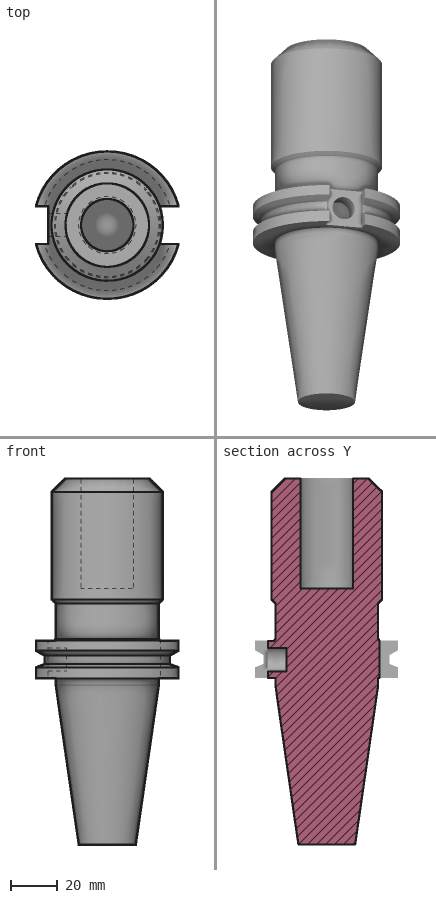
import cadquery as cq

total_height = 157.2
taper_top = 68.5
flange_bottom = 71.3
groove_bottom = 76.0
groove_floor_bottom = 77.5
groove_floor_top = 81.2
groove_top = 83.3
flange_top = 87.5
body_bottom = 103.5

taper_small_radius = 12.3
neck_radius = 22.2
flange_diameter = 63.3
flange_radius = flange_diameter / 2
groove_radius = 28.1
body_radius = 23.9
nose_radius = 17.9

body_chamfer = body_radius - neck_radius
nose_chamfer_height = 5.8
collar_width = 0.5
collar_height = 0.8

bore_diameter = 22.5
bore_depth = 47.1

slot_width = 16.0
slot_floor_left = 25.3
slot_floor_right = 22.8
hole_diameter = 9.9
hole_depth = 7.9

flange_height = flange_top - flange_bottom
flange_middle = (flange_top + flange_bottom) / 2


def make_turned_body():
    """Revolve the taper, grooved flange, neck and body about Z."""
    profile = [
        (0, 0),
        (taper_small_radius, 0),
        (neck_radius, taper_top),
        (neck_radius, flange_bottom),
        (flange_radius, flange_bottom),
        (flange_radius, groove_bottom),
        (groove_radius, groove_floor_bottom),
        (groove_radius, groove_floor_top),
        (flange_radius, groove_top),
        (flange_radius, flange_top),
        (neck_radius + collar_width, flange_top),
        (neck_radius, flange_top + collar_height),
        (neck_radius, body_bottom),
        (body_radius, body_bottom + body_chamfer),
        (body_radius, total_height - nose_chamfer_height),
        (nose_radius, total_height),
        (0, total_height),
    ]
    return cq.Workplane("XZ").polyline(profile).close().revolve(360, (0, 0), (0, 1))


def make_slot(side, floor_distance):
    """Return a drive slot cutter; side is -1 for -X and +1 for +X."""
    depth = flange_radius - floor_distance
    center_x = side * (floor_distance + depth / 2)
    return cq.Workplane("XY").box(depth, slot_width, flange_height).translate((center_x, 0, flange_middle))


def make_slot_hole():
    """Return the blind hole running inward from the -X slot floor."""
    return (
        cq.Workplane("YZ", origin=(-slot_floor_left, 0, flange_middle))
        .circle(hole_diameter / 2)
        .extrude(hole_depth)
    )


def make_bore():
    """Return the blind tool bore running down from the nose."""
    return (
        cq.Workplane("XY", origin=(0, 0, total_height))
        .circle(bore_diameter / 2)
        .extrude(-bore_depth)
    )


result = (
    make_turned_body()
    .cut(make_slot(-1, slot_floor_left))
    .cut(make_slot(1, slot_floor_right))
    .cut(make_slot_hole())
    .cut(make_bore())
)